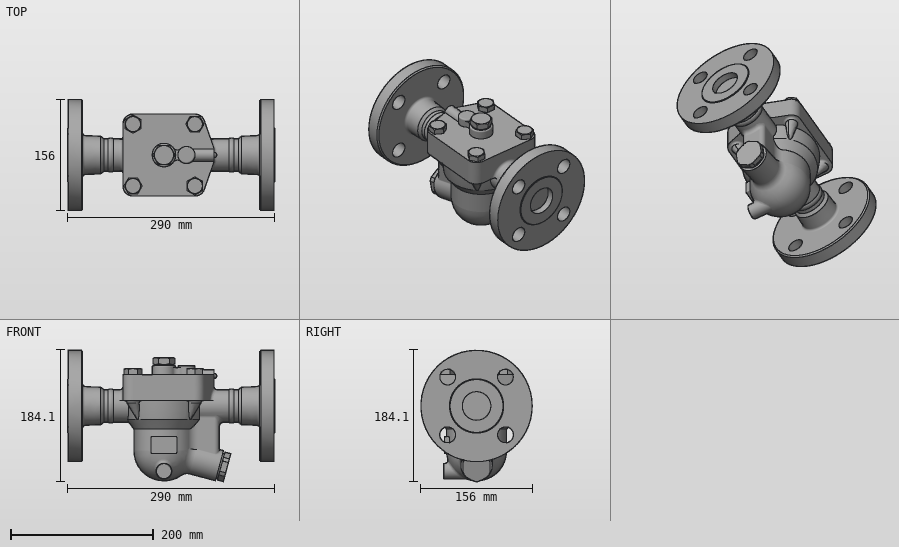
import cadquery as cq
import math

face_to_face = 290.0
half_length = face_to_face / 2

selection_margin = 1.0

flange_radius = 156.0 / 2
flange_chamfer = 2.0
raised_face_height = 0.9
raised_face_base_radius = 38.0
raised_face_tip_radius = 37.0
flange_outer_x = half_length - raised_face_height
flange_inner_x = 123.7
flange_hole_diameter = 22.0
flange_hole_offset = 40.4
bore_diameter = 40.0
bore_depth = 10.0

pipe_radius = 46.0 / 2
hub_fillet = 3.5
hub_radius = 27.4
hub_end_x = 98.7
hub_end_radius = 26.5
hub_taper_end_x = 94.0
weld_outer_x = 88.3
weld_inner_x = 80.8
weld_height = 1.0
pipe_fillet = 4.0

body_x = -10.0
bolt_offset = 43.25
corner_radius = 14.25
outline_half = bolt_offset + corner_radius
nose_x = 60.2
nose_half_width = 8.8
seat_bottom_z = 7.3
seat_top_z = 27.1
cover_top_z = 44.0

bolt_flats = 22.0
bolt_top_diameter = 21.0
bolt_head_height = 8.5
plug_flats = 27.0
plug_top_diameter = 27.0
plug_bottom_z = 58.0
plug_head_height = 9.5
head_chamfer_angle = 30.0
hex_half_pitch = 30.0

plug_boss_radius = 16.5
side_boss_x = 21.5
side_boss_radius = 12.0
boss_top_z = 56.5
boss_fillet = 2.0
bridge_side_radius = 7.0
bridge_top_z = 53.5
tube_radius = 9.0
tube_z = 42.0
nose_ball_radius = 3.75

upper_radius = 52.3
upper_flare_radius = 55.5
upper_flare_bulge = 0.3
upper_bottom_z = -19.2
pot_radius = 42.2
pot_top_z = -32.5
dome_z = -62.7
lug_radius = 8.6
lug_base_fillet = 3.0
lug_tip_radius = 2.0

pad_width = 36.0
pad_height = 23.5
pad_center_z = -54.6
pad_face_y = -45.0
pad_corner = 1.5
drain_radius = 11.0
drain_z = -91.2
drain_face_y = -46.0
drain_fillet = 4.0
drain_chamfer = 0.5

branch_angle = 15.0
branch_radius = 44.0 / 2
branch_length = 80.4
branch_flare = 14.3
strainer_neck_radius = 18.0
strainer_hex_start = 82.8
strainer_hex_end = 91.5
strainer_flats = 38.0
strainer_corner_radius = 20.39

rib_half_width = 17.5
rib_end_x = 67.5
rib_corner = 6.7
rib_web_fillet = 15.0
rib_pipe_fillet = 6.0
rib_branch_fillet = 2.5
rib_bottom_z = -72.0


def cover_cylinder(x, radius, top_z):
    """Upright cylinder on the mid-plane of the cover, rising from its underside."""
    return cq.Workplane("XY", origin=(x, 0, seat_top_z)).circle(radius).extrude(top_z - seat_top_z)


def chamfered_hex(flats, top_diameter, height, turn, both_ends):
    """Hexagon head standing on Z = 0, its corners cut by a cone at the top or at both ends."""
    top_radius = top_diameter / 2
    corner = flats / math.sqrt(3)
    drop = (corner - top_radius) * math.tan(math.radians(head_chamfer_angle))
    prism = cq.Workplane("XY").polygon(6, 2 * corner).extrude(height)
    prism = prism.rotate((0, 0, 0), (0, 0, 1), turn)
    outline = [(0, 0)]
    if both_ends:
        outline += [(top_radius, 0), (corner, drop)]
    else:
        outline += [(corner, 0)]
    outline += [(corner, height - drop), (top_radius, height), (0, height)]
    return prism.intersect(cq.Workplane("XZ").polyline(outline).close().revolve(360, (0, 0), (0, 1)))


def make_pipe_end():
    """Flange, hub and pipe on the +X side, solid up to the blind bore."""
    weld_mid_x = (weld_outer_x + weld_inner_x) / 2
    corner_offset = hub_fillet * (1 - math.sqrt(0.5))
    profile = (
        cq.Workplane("XY")
        .moveTo(0, 0)
        .lineTo(0, pipe_radius)
        .lineTo(weld_inner_x, pipe_radius)
        .threePointArc((weld_mid_x, pipe_radius + weld_height), (weld_outer_x, pipe_radius))
        .lineTo(hub_taper_end_x, pipe_radius)
        .lineTo(hub_end_x, hub_end_radius)
        .lineTo(flange_inner_x - hub_fillet, hub_radius)
        .threePointArc(
            (flange_inner_x - corner_offset, hub_radius + corner_offset),
            (flange_inner_x, hub_radius + hub_fillet),
        )
        .lineTo(flange_inner_x, flange_radius - flange_chamfer)
        .lineTo(flange_inner_x + flange_chamfer, flange_radius)
        .lineTo(flange_outer_x, flange_radius)
        .lineTo(flange_outer_x, raised_face_base_radius)
        .lineTo(half_length, raised_face_tip_radius)
        .lineTo(half_length, 0)
        .close()
    )
    pipe_end = profile.revolve(360, (0, 0), (1, 0))
    spacing = 2 * flange_hole_offset
    holes = (
        cq.Workplane("YZ", origin=(flange_inner_x, 0, 0))
        .rarray(spacing, spacing, 2, 2)
        .circle(flange_hole_diameter / 2)
        .extrude(half_length - flange_inner_x)
    )
    bore = (
        cq.Workplane("YZ", origin=(half_length - bore_depth, 0, 0))
        .circle(bore_diameter / 2)
        .extrude(bore_depth)
    )
    return pipe_end.cut(holes).cut(bore)


def cover_outline(bottom_z):
    """Square with rounded corners, narrowing on +X to a short flat nose."""
    left_x = body_x - outline_half
    left_bolt_x = body_x - bolt_offset
    right_bolt_x = body_x + bolt_offset
    nose_dx = nose_x - right_bolt_x
    nose_dy = nose_half_width - bolt_offset
    nose_distance = math.hypot(nose_dx, nose_dy)
    tangent_angle = math.atan2(nose_dy, nose_dx) + math.acos(corner_radius / nose_distance)

    def on_corner(center_x, angle, side):
        return (
            center_x + corner_radius * math.cos(angle),
            side * (bolt_offset + corner_radius * math.sin(angle)),
        )

    right_mid = (tangent_angle + math.pi / 2) / 2
    left_mid = 3 * math.pi / 4
    return (
        cq.Workplane("XY", origin=(0, 0, bottom_z))
        .moveTo(nose_x, -nose_half_width)
        .lineTo(nose_x, nose_half_width)
        .lineTo(*on_corner(right_bolt_x, tangent_angle, 1))
        .threePointArc(on_corner(right_bolt_x, right_mid, 1), (right_bolt_x, outline_half))
        .lineTo(left_bolt_x, outline_half)
        .threePointArc(on_corner(left_bolt_x, left_mid, 1), (left_x, bolt_offset))
        .lineTo(left_x, -bolt_offset)
        .threePointArc(on_corner(left_bolt_x, left_mid, -1), (left_bolt_x, -outline_half))
        .lineTo(right_bolt_x, -outline_half)
        .threePointArc(
            on_corner(right_bolt_x, right_mid, -1), on_corner(right_bolt_x, tangent_angle, -1)
        )
        .close()
    )


def make_body_flange():
    """Body flange with the filleted roots of the pipes running into its sides."""
    deep_z = -pipe_radius - 2 * pipe_fillet
    block = cover_outline(deep_z).extrude(seat_top_z - deep_z)
    reach = weld_inner_x
    pipe = cq.Workplane("YZ", origin=(-reach, 0, 0)).circle(pipe_radius).extrude(2 * reach)
    joined = block.union(pipe)
    span = pipe_radius + selection_margin
    inner_x = reach - selection_margin
    roots = cq.selectors.BoxSelector(
        (-inner_x, -span, -span), (inner_x, span, span), boundingbox=True
    )
    filleted = joined.edges(roots).fillet(pipe_fillet)
    keep = cq.Workplane("XY", origin=(0, 0, seat_bottom_z)).rect(
        2 * face_to_face, 2 * face_to_face
    ).extrude(seat_top_z - seat_bottom_z)
    return filleted.intersect(keep)


def make_pot():
    """Round body below the flange, closed by a hemispherical dome."""
    slant = pot_radius * math.sqrt(0.5)
    flare_mid_radius = (upper_radius + upper_flare_radius) / 2 + upper_flare_bulge
    flare_mid_z = (seat_bottom_z + upper_bottom_z) / 2
    profile = (
        cq.Workplane("XZ", origin=(body_x, 0, 0))
        .moveTo(0, seat_bottom_z)
        .lineTo(upper_flare_radius, seat_bottom_z)
        .threePointArc((flare_mid_radius, flare_mid_z), (upper_radius, upper_bottom_z))
        .lineTo(pot_radius, pot_top_z)
        .lineTo(pot_radius, dome_z)
        .threePointArc((slant, dome_z - slant), (0, dome_z - pot_radius))
        .close()
    )
    return profile.revolve(360, (0, 0), (0, 1))


def make_lugs():
    """Bolt lugs under the flange corners, tapering down and inwards to points on the pot."""
    lugs = cq.Workplane("XY")
    collar_bottom_z = seat_bottom_z - lug_base_fillet
    corner = lug_base_fillet * (1 - math.sqrt(0.5))
    wide = lug_radius + lug_base_fillet
    collar = (
        cq.Workplane("XZ")
        .moveTo(0, collar_bottom_z)
        .lineTo(lug_radius, collar_bottom_z)
        .threePointArc((lug_radius + corner, seat_bottom_z - corner), (wide, seat_bottom_z))
        .lineTo(0, seat_bottom_z)
        .close()
        .revolve(360, (0, 0), (0, 1))
    )
    tip_offset = (upper_radius - lug_tip_radius) * math.sqrt(0.5)
    for x_side in (-1, 1):
        for y_side in (-1, 1):
            root = (body_x + x_side * bolt_offset, y_side * bolt_offset)
            tip = (body_x + x_side * tip_offset, y_side * tip_offset)
            taper = (
                cq.Workplane("XY", origin=(*tip, upper_bottom_z))
                .circle(lug_tip_radius)
                .workplane(offset=collar_bottom_z - upper_bottom_z)
                .center(root[0] - tip[0], root[1] - tip[1])
                .circle(lug_radius)
                .loft(ruled=True)
            )
            lugs = lugs.union(taper).union(collar.translate((*root, 0)))
    return lugs


def tilt_to_branch(shape):
    """Carries a shape built along +X from the origin onto the strainer branch axis."""
    return shape.rotate((0, 0, 0), (0, 1, 0), branch_angle).translate((body_x, 0, dome_z))


def make_branch_tube():
    """Plain tube of the strainer branch."""
    return tilt_to_branch(cq.Workplane("YZ").circle(branch_radius).extrude(branch_length))


def make_branch_flare():
    """Concave root of the branch, tangent to both the dome and the branch tube."""
    center_r = branch_radius + branch_flare
    center_x = math.sqrt((pot_radius + branch_flare) ** 2 - center_r**2)
    share = pot_radius / (pot_radius + branch_flare)
    dome_point = (center_x * share, center_r * share)
    start_angle = math.atan2(-center_r, -center_x)
    mid_angle = (start_angle - math.pi / 2) / 2
    mid_point = (
        center_x + branch_flare * math.cos(mid_angle),
        center_r + branch_flare * math.sin(mid_angle),
    )
    flare = (
        cq.Workplane("XY")
        .lineTo(*dome_point)
        .threePointArc(mid_point, (center_x, branch_radius))
        .lineTo(center_x, 0)
        .close()
        .revolve(360, (0, 0), (1, 0))
    )
    return tilt_to_branch(flare)


def make_strainer_plug():
    """Screw plug of the branch: a neck and a hexagon with turned corners."""
    neck = (
        cq.Workplane("YZ", origin=(branch_length, 0, 0))
        .circle(strainer_neck_radius)
        .extrude(strainer_hex_start - branch_length)
    )
    hex_length = strainer_hex_end - strainer_hex_start
    hex_plane = cq.Workplane("YZ", origin=(strainer_hex_start, 0, 0))
    corner_diameter = 2 * strainer_flats / math.sqrt(3)
    turned_plane = hex_plane.transformed(rotate=(0, 0, hex_half_pitch))
    head = turned_plane.polygon(6, corner_diameter).extrude(hex_length)
    head = head.intersect(hex_plane.circle(strainer_corner_radius).extrude(hex_length))
    return tilt_to_branch(neck.union(head))


def make_ribbed_branch():
    """Pipe and branch tube joined by the rib, with fillets along both joints."""
    rib = (
        cq.Workplane("XY", origin=(body_x, 0, rib_bottom_z))
        .rect(2 * (rib_end_x - body_x), 2 * rib_half_width)
        .extrude(-rib_bottom_z)
        .edges("|Z and >X")
        .fillet(rib_corner)
    )
    past_pot = body_x + pot_radius / 2
    outer_space = cq.Workplane("XY", origin=(past_pot + half_length, 0, 0)).box(
        face_to_face, face_to_face, face_to_face
    )
    rib = rib.intersect(outer_space)
    pipe = cq.Workplane("YZ", origin=(past_pot, 0, 0)).circle(pipe_radius).extrude(
        weld_inner_x - past_pot
    )
    margin = selection_margin
    side = rib_half_width + margin
    pipe_joint = cq.selectors.BoxSelector(
        (past_pot - margin, -side, -pipe_radius - margin),
        (rib_end_x + margin, side, -margin),
        boundingbox=True,
    )
    joined = pipe.union(rib).edges(pipe_joint).fillet(rib_pipe_fillet)
    branch_joint = cq.selectors.BoxSelector(
        (past_pot - margin, -side, rib_bottom_z - branch_radius),
        (rib_end_x + margin, side, dome_z + margin),
        boundingbox=True,
    )
    joined = joined.union(make_branch_tube())
    return joined.edges(branch_joint).fillet(rib_branch_fillet)


def make_rib_webs():
    """Concave webs, tangent to the pot and to the rib sides."""
    center_y = rib_half_width + rib_web_fillet
    center_r = pot_radius + rib_web_fillet
    center_dx = math.sqrt(center_r**2 - center_y**2)
    share = pot_radius / center_r
    pot_dx = center_dx * share
    pot_y = center_y * share
    start_angle = math.atan2(-center_y, -center_dx)
    mid_angle = (start_angle - math.pi / 2) / 2
    mid_dx = center_dx + rib_web_fillet * math.cos(mid_angle)
    mid_y = center_y + rib_web_fillet * math.sin(mid_angle)
    return (
        cq.Workplane("XY", origin=(body_x, 0, rib_bottom_z))
        .moveTo(0, -pot_y)
        .lineTo(pot_dx, -pot_y)
        .threePointArc((mid_dx, -mid_y), (center_dx, -rib_half_width))
        .lineTo(center_dx, rib_half_width)
        .threePointArc((mid_dx, mid_y), (pot_dx, pot_y))
        .lineTo(0, pot_y)
        .close()
        .extrude(upper_bottom_z - rib_bottom_z)
    )


def make_pad():
    """Flat name pad standing out from the pot."""
    return (
        cq.Workplane("XZ", origin=(body_x, 0, pad_center_z))
        .rect(pad_width, pad_height)
        .extrude(-pad_face_y)
        .edges("|Y")
        .fillet(pad_corner)
    )


def make_pot_with_drain():
    """Pot with the drain boss filleted into its dome."""
    boss = (
        cq.Workplane("XZ", origin=(body_x, 0, drain_z))
        .circle(drain_radius)
        .extrude(-drain_face_y)
        .faces("<Y")
        .chamfer(drain_chamfer)
    )
    span = drain_radius + selection_margin
    boss_root = cq.selectors.BoxSelector(
        (body_x - span, drain_face_y + selection_margin, drain_z - span),
        (body_x + span, 0, drain_z + span),
        boundingbox=True,
    )
    return make_pot().union(boss).edges(boss_root).fillet(drain_fillet)


def make_bridge():
    """Wall joining the two bosses, its sides concave and tangent to both."""
    distance = side_boss_x - body_x
    plug_reach = plug_boss_radius + bridge_side_radius
    side_reach = side_boss_radius + bridge_side_radius
    center_dx = (distance**2 + plug_reach**2 - side_reach**2) / (2 * distance)
    center_y = math.sqrt(plug_reach**2 - center_dx**2)
    plug_share = plug_boss_radius / plug_reach
    side_share = side_boss_radius / side_reach
    plug_dx = center_dx * plug_share
    plug_y = center_y * plug_share
    side_dx = distance + (center_dx - distance) * side_share
    side_y = center_y * side_share
    waist_y = center_y - bridge_side_radius
    return (
        cq.Workplane("XY", origin=(body_x, 0, seat_top_z))
        .moveTo(0, -plug_y)
        .lineTo(plug_dx, -plug_y)
        .threePointArc((center_dx, -waist_y), (side_dx, -side_y))
        .lineTo(distance, -side_y)
        .lineTo(distance, side_y)
        .lineTo(side_dx, side_y)
        .threePointArc((center_dx, waist_y), (plug_dx, plug_y))
        .lineTo(0, plug_y)
        .close()
        .extrude(bridge_top_z - seat_top_z)
    )


def make_cover():
    """Cover plate with its bosses, bridge, cast-on tube, bolts and plug."""
    cover = cover_outline(seat_top_z).extrude(cover_top_z - seat_top_z)
    tube = (
        cq.Workplane("YZ", origin=(side_boss_x, 0, tube_z))
        .circle(tube_radius)
        .extrude(nose_x - side_boss_x)
    )
    ball = cq.Workplane("XY").sphere(nose_ball_radius).translate((nose_x, 0, tube_z))
    cover = cover.union(tube).union(ball).union(make_bridge())
    for x, radius in ((body_x, plug_boss_radius), (side_boss_x, side_boss_radius)):
        boss = cover_cylinder(x, radius, boss_top_z).faces(">Z").edges().fillet(boss_fillet)
        cover = cover.union(boss)
    cover = cover.union(cover_cylinder(body_x, plug_flats / 2, plug_bottom_z))
    plug = chamfered_hex(plug_flats, plug_top_diameter, plug_head_height, 0, True)
    cover = cover.union(plug.translate((body_x, 0, plug_bottom_z)))
    for x_side in (-1, 1):
        for y_side in (-1, 1):
            turn = 0 if x_side == y_side else hex_half_pitch
            head = chamfered_hex(bolt_flats, bolt_top_diameter, bolt_head_height, turn, False)
            place = (body_x + x_side * bolt_offset, y_side * bolt_offset, cover_top_z)
            cover = cover.union(head.translate(place))
    return cover


right_end = make_pipe_end()
left_end = right_end.mirror("YZ")

result = (
    make_pot_with_drain()
    .union(make_branch_flare())
    .union(make_rib_webs())
    .union(make_ribbed_branch())
    .union(make_strainer_plug())
    .union(make_pad())
    .union(make_lugs())
    .union(right_end)
    .union(left_end)
    .union(make_body_flange())
    .union(make_cover(), clean=False)
)